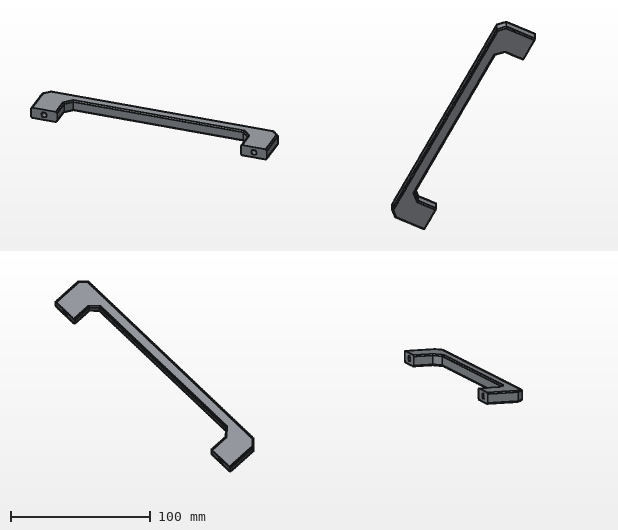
import cadquery as cq

length = 180.0
depth = 28.0
height = 8.5

leg_width = 20.0
bar_depth = 8.5
outer_corner = 5.0
inner_corner = 5.2
edge_chamfer = 1.05

hole_spacing = 160.0
hole_diameter = 4.0
hole_depth = 14.4

half_length = length / 2
half_opening = half_length - leg_width
foot_y = -depth / 2
back_y = depth / 2
bar_front_y = back_y - bar_depth


def make_bridge():
    """Bar with two legs, extruded about the middle plane."""
    right_half = [
        (half_opening - inner_corner, bar_front_y),
        (half_opening, bar_front_y - inner_corner),
        (half_opening, foot_y),
        (half_length, foot_y),
        (half_length, back_y - outer_corner),
        (half_length - outer_corner, back_y),
    ]
    left_half = [(-x, y) for x, y in reversed(right_half)]
    return (
        cq.Workplane("XY")
        .polyline(right_half + left_half)
        .close()
        .extrude(height / 2, both=True)
    )


def chamfer_long_edges(body):
    """Chamfer the top and bottom outlines, leaving the foot edges sharp."""
    foot_margin = 0.2
    above_feet = cq.selectors.BoxSelector(
        (-length, foot_y + foot_margin, -height),
        (length, depth, height),
    )
    return body.faces("|Z").edges(above_feet).chamfer(edge_chamfer)


def make_holes():
    """Blind round holes running from the feet into the legs."""
    return (
        cq.Workplane("XZ", origin=(0, foot_y, 0))
        .pushPoints([(-hole_spacing / 2, 0), (hole_spacing / 2, 0)])
        .circle(hole_diameter / 2)
        .extrude(-hole_depth)
    )


result = chamfer_long_edges(make_bridge()).cut(make_holes())